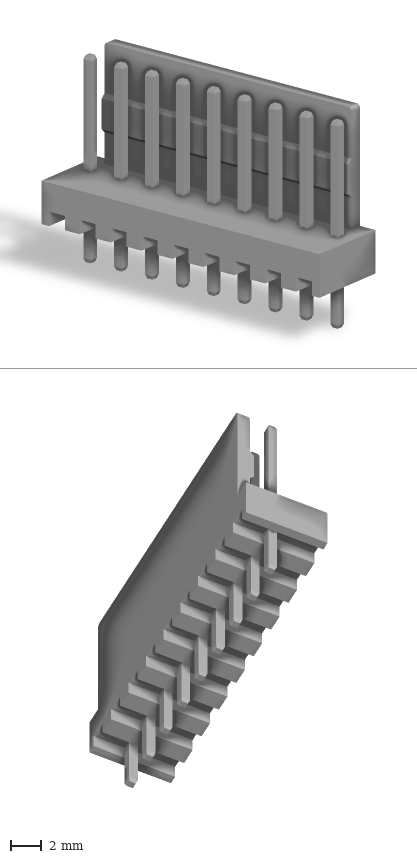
import cadquery as cq

module_count = 9
pitch = 2.54

base_depth = 5.9
base_height = 3.0
pin_to_back = 2.4
back_y = pin_to_back
front_y = back_y - base_depth

channel_width = 1.3
channel_height = 1.0

wall_height = 8.4
wall_thickness = 0.9
wall_corner_radius = 0.25
rib_projection = 0.3
rib_bottom = 2.2
rib_top = 4.9

pin_width = 0.64
pin_tip_height = 0.27
pin_tip_inset = 0.1
pin_below_base = 3.3
pin_top_below_wall_top = 0.45
pin_bottom_z = -pin_below_base
pin_top_z = base_height + wall_height - pin_top_below_wall_top


def make_base():
    """Block around the pin axis with its bottom channel."""
    front = cq.Workplane("XY", origin=(0, front_y, 0))
    block = front.box(pitch, base_depth, base_height, centered=(True, False, False))
    channel = front.box(channel_width, base_depth, channel_height, centered=(True, False, False))
    return block.cut(channel)


def make_wall(left_x, right_x):
    """Back wall section between two X positions, with a bevelled rib facing the pin."""
    inner_y = back_y - wall_thickness
    rib_y = inner_y - rib_projection
    return (
        cq.Workplane("YZ", origin=(left_x, 0, base_height))
        .moveTo(back_y, 0)
        .lineTo(back_y, wall_height)
        .lineTo(inner_y, wall_height)
        .lineTo(inner_y, rib_top)
        .lineTo(rib_y, rib_top - rib_projection)
        .lineTo(rib_y, rib_bottom + rib_projection)
        .lineTo(inner_y, rib_bottom)
        .lineTo(inner_y, 0)
        .close()
        .extrude(right_x - left_x)
    )


def make_pin():
    """Square pin on the Z axis, bevelled at both tips."""
    return (
        cq.Workplane("XY", origin=(0, 0, pin_bottom_z))
        .rect(pin_width, pin_width)
        .extrude(pin_top_z - pin_bottom_z)
        .faces("<Z or >Z")
        .chamfer(pin_tip_height, pin_tip_inset)
    )


def make_module(index):
    """One complete module; on the two end modules the wall stops at the pin axis."""
    wall_left = -pitch / 2
    wall_right = pitch / 2
    rounded_edge = None
    if index == 0:
        wall_left = 0
        rounded_edge = "<X"
    if index == module_count - 1:
        wall_right = 0
        rounded_edge = ">X"
    wall = make_wall(wall_left, wall_right)
    if rounded_edge:
        wall = wall.faces(">Z").edges(rounded_edge).fillet(wall_corner_radius)
    module_x = (index - (module_count - 1) / 2) * pitch
    return make_base().union(wall).union(make_pin()).translate((module_x, 0, 0))


modules = [make_module(index) for index in range(module_count)]

result = cq.Compound.makeCompound([module.val() for module in modules])